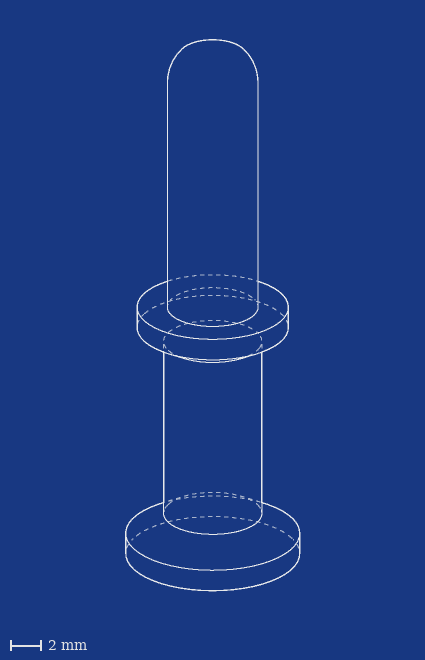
import cadquery as cq
import math

total_height = 36.6
base_radius = 11.5 / 2
base_thickness = 1.5
neck_radius = 6.5 / 2
collar_radius = 10.0 / 2
collar_thickness = 1.5
collar_top = 18.0
pin_radius = 6.0 / 2
cone_angle = math.radians(30)
dome_start = 34.4
tip_fillet = 0.5

base_cone_top = base_thickness + (base_radius - neck_radius) * math.tan(cone_angle)
collar_bottom = collar_top - collar_thickness
collar_cone_bottom = collar_bottom - (collar_radius - neck_radius) * math.tan(cone_angle)

fillet_center_rise = total_height - tip_fillet - dome_start
fillet_center_radius = math.sqrt((pin_radius - tip_fillet) ** 2 - fillet_center_rise ** 2)
dome_end_angle = math.atan2(fillet_center_rise, fillet_center_radius)
fillet_mid_angle = (dome_end_angle + math.pi / 2) / 2


def dome_point(angle):
    """Profile point on the dome at an angle above horizontal."""
    return (
        pin_radius * math.cos(angle),
        dome_start + pin_radius * math.sin(angle),
    )


def fillet_point(angle):
    """Profile point on the tip fillet at an angle above horizontal."""
    return (
        fillet_center_radius + tip_fillet * math.cos(angle),
        dome_start + fillet_center_rise + tip_fillet * math.sin(angle),
    )


def half_profile():
    """Closed radius-height outline on one side of the axis."""
    return (
        cq.Workplane("XZ")
        .moveTo(0, 0)
        .lineTo(base_radius, 0)
        .lineTo(base_radius, base_thickness)
        .lineTo(neck_radius, base_cone_top)
        .lineTo(neck_radius, collar_cone_bottom)
        .lineTo(collar_radius, collar_bottom)
        .lineTo(collar_radius, collar_top)
        .lineTo(pin_radius, collar_top)
        .lineTo(pin_radius, dome_start)
        .threePointArc(dome_point(dome_end_angle / 2), dome_point(dome_end_angle))
        .threePointArc(fillet_point(fillet_mid_angle), (fillet_center_radius, total_height))
        .lineTo(0, total_height)
        .close()
    )


result = half_profile().revolve(360, (0, 0, 0), (0, 1, 0))